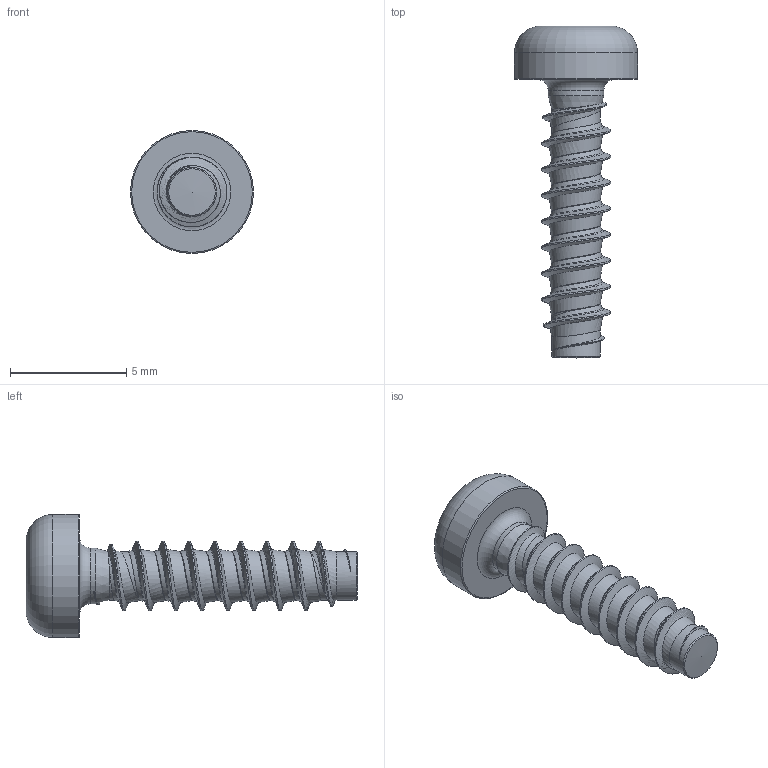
import cadquery as cq
import math


head_diameter = 5.3
head_height = 2.3
dome_radius = head_height / 2
rim_radius = 0.05

shank_length = 12.0
neck_diameter = 2.4
neck_fillet = 0.47
neck_end = 0.70
core_diameter = 2.1
core_start = 1.28
tip_chamfer = 0.05
tip_cone_height = 0.03

thread_diameter = 3.0
pitch = 1.12
crest_width = 0.06
ridge_base_radius = 0.9
first_full_depth = 1.92
run_in_turns = 1.25
full_turns = 7.5
run_out_turns = 1.3
run_in_scale = 0.46
run_out_scale = 0.2
steps_per_turn = 24

leading_foot_offset = -0.40
leading_bend = (-0.20, 1.11)
leading_shoulder = (-0.15, 1.20)
trailing_shoulder = (0.15, 1.15)
foot_gap = 0.02
foot_step = 0.005

head_radius = head_diameter / 2
neck_radius = neck_diameter / 2
core_radius = core_diameter / 2
thread_radius = thread_diameter / 2
foot_radius = core_radius + foot_step
trailing_foot_offset = leading_foot_offset + pitch - foot_gap
tip_rim_depth = shank_length - tip_cone_height

ridge_section = [
    (leading_foot_offset, ridge_base_radius),
    (leading_foot_offset, foot_radius),
    leading_bend,
    leading_shoulder,
    (-crest_width / 2, thread_radius),
    (crest_width / 2, thread_radius),
    trailing_shoulder,
    (trailing_foot_offset, foot_radius),
    (trailing_foot_offset, ridge_base_radius),
]


def make_body():
    """Head, neck and core as one solid of revolution."""
    arc_reach = math.sqrt(0.5)
    dome_edge = head_radius - dome_radius
    dome_base = head_height - dome_radius
    dome_middle = (dome_edge + dome_radius * arc_reach, dome_base + dome_radius * arc_reach)

    rim_inset = rim_radius * (1 - arc_reach)
    rim_middle = (head_radius - rim_inset, rim_inset)

    fillet_edge = neck_radius + neck_fillet
    fillet_reach = neck_fillet * (1 - arc_reach)
    fillet_middle = (neck_radius + fillet_reach, -fillet_reach)

    profile = (
        cq.Workplane("XY")
        .moveTo(0, head_height)
        .lineTo(dome_edge, head_height)
        .threePointArc(dome_middle, (head_radius, dome_base))
        .lineTo(head_radius, rim_radius)
        .threePointArc(rim_middle, (head_radius - rim_radius, 0))
        .lineTo(fillet_edge, 0)
        .threePointArc(fillet_middle, (neck_radius, -neck_fillet))
        .lineTo(neck_radius, -neck_end)
        .lineTo(core_radius, -core_start)
        .lineTo(core_radius, tip_chamfer - tip_rim_depth)
        .lineTo(core_radius - tip_chamfer, -tip_rim_depth)
        .lineTo(0, -shank_length)
        .close()
    )
    return profile.revolve(360, (0, 0, 0), (0, 1, 0))


def ridge_scale(turn):
    """Size of the ridge relative to its full section; turn 0 is the first full crest."""
    if turn < 0:
        return 1 + (1 - run_in_scale) * turn / run_in_turns
    if turn > full_turns:
        return 1 - (1 - run_out_scale) * (turn - full_turns) / run_out_turns
    return 1.0


def ridge_point(turn, offset, radius):
    """Place one point of the ridge section on its helix."""
    scale = ridge_scale(turn)
    angle = 2 * math.pi * turn
    reach = ridge_base_radius + (radius - ridge_base_radius) * scale
    depth = first_full_depth + pitch * turn + offset * scale
    return cq.Vector(reach * math.sin(angle), -depth, -reach * math.cos(angle))


def make_thread():
    """Helical ridge that grows out of the neck and fades away at the tip."""
    first_turn = -run_in_turns
    last_turn = full_turns + run_out_turns
    turn_span = last_turn - first_turn
    steps = math.ceil(turn_span * steps_per_turn)
    turns = [first_turn + turn_span * step / steps for step in range(steps + 1)]

    helices = []
    for offset, radius in ridge_section:
        points = [ridge_point(turn, offset, radius) for turn in turns]
        helices.append(cq.Edge.makeSpline(points))

    faces = []
    for index, helix in enumerate(helices):
        faces.append(cq.Face.makeRuledSurface(helices[index - 1], helix))
    for turn in (first_turn, last_turn):
        corners = [ridge_point(turn, offset, radius) for offset, radius in ridge_section]
        outline = cq.Wire.makePolygon(corners, close=True)
        faces.append(cq.Face.makeFromWires(outline))
    return cq.Solid.makeSolid(cq.Shell.makeShell(faces))


result = make_body().union(cq.Workplane(make_thread())).solids()